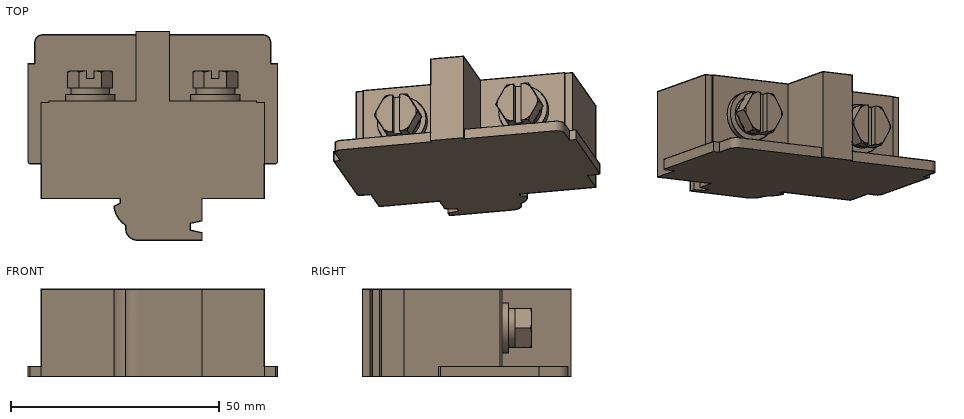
import cadquery as cq
import math

height = 21.0

body_width = 53.65
body_depth = 23.1
pad_width = 49.9
pad_depth = 23.5
rib_width = 8.15
rib_back = 40.2

plate_width = 60.0
plate_back_width = 56.75
plate_thickness = 2.45
plate_front = 8.35
plate_step = 32.45
plate_back = 39.4
plate_back_radius = 2.0
plate_front_chamfer = 0.5

foot_front = -10.0
foot_right = 11.9
foot_left = -6.55
foot_radius = 2.9
neck_left = -7.85
neck_front = -1.1
latch_left = -9.3
latch_back = -1.8
latch_arc_start = -2.2
latch_arc_middle = (-8.4, -4.5)
latch_arc_end = (foot_left, -6.35)
groove_depth = 2.8
groove_center = -6.75
groove_mouth = 2.8
groove_floor = 1.6

screw_spacing = 30.05
screw_z = 11.7
washer_diameter = 12.0
collar_diameter = 9.35
ring_thickness = 1.55
head_flats = 9.35
head_height = 4.0
head_top_diameter = 9.95
head_bevel_slope = 30
slot_width = 1.8
slot_depth = 1.8


def block(width, front, back, thickness):
    """Box centred on x = 0 and standing on z = 0."""
    return (
        cq.Workplane("XY")
        .box(width, back - front, thickness, centered=(True, False, False))
        .translate((0, front, 0))
    )


def make_plate():
    wide = block(plate_width, plate_front, plate_step, plate_thickness)
    wide = wide.edges("|Z and <Y").chamfer(plate_front_chamfer)
    narrow = block(plate_back_width, plate_front, plate_back, plate_thickness)
    narrow = narrow.edges("|Z and >Y").fillet(plate_back_radius)
    return wide.union(narrow)


def make_foot():
    """Foot with a rounded latch on the left and a tapered groove on the right."""
    corner_x = foot_left + foot_radius
    corner_y = foot_front + foot_radius
    reach = foot_radius * math.sqrt(0.5)
    groove_x = foot_right - groove_depth
    return (
        cq.Workplane("XY")
        .moveTo(neck_left, body_depth / 2)
        .lineTo(neck_left, neck_front)
        .lineTo(latch_left, latch_back)
        .lineTo(latch_left, latch_arc_start)
        .threePointArc(latch_arc_middle, latch_arc_end)
        .lineTo(foot_left, corner_y)
        .threePointArc((corner_x - reach, corner_y - reach), (corner_x, foot_front))
        .lineTo(foot_right, foot_front)
        .lineTo(foot_right, groove_center - groove_mouth / 2)
        .lineTo(groove_x, groove_center - groove_floor / 2)
        .lineTo(groove_x, groove_center + groove_floor / 2)
        .lineTo(foot_right, groove_center + groove_mouth / 2)
        .lineTo(foot_right, body_depth / 2)
        .close()
        .extrude(height)
    )


def make_screw():
    """Slotted hex screw on its washer, pointing up from z = 0."""
    corner_diameter = head_flats / math.cos(math.radians(30))
    head_base = 2 * ring_thickness
    head_top = head_base + head_height
    bevel_reach = (corner_diameter - head_top_diameter) / 2
    bevel_drop = bevel_reach * math.tan(math.radians(head_bevel_slope))

    washer = cq.Workplane("XY").circle(washer_diameter / 2).extrude(ring_thickness)
    collar = cq.Workplane("XY").circle(collar_diameter / 2).extrude(head_base)
    head = (
        cq.Workplane("XY")
        .workplane(offset=head_base)
        .polygon(6, corner_diameter)
        .extrude(head_height)
    )
    bevel_envelope = (
        cq.Workplane("XZ")
        .moveTo(0, head_base)
        .lineTo(corner_diameter / 2, head_base)
        .lineTo(corner_diameter / 2, head_top - bevel_drop)
        .lineTo(head_top_diameter / 2, head_top)
        .lineTo(0, head_top)
        .close()
        .revolve(360, (0, 0, 0), (0, 1, 0))
    )
    slot = (
        cq.Workplane("XY")
        .box(slot_width, washer_diameter, slot_depth, centered=(True, True, False))
        .translate((0, 0, head_top - slot_depth))
    )
    return head.intersect(bevel_envelope).cut(slot).union(collar).union(washer)


result = block(body_width, 0, body_depth, height)
result = result.union(block(pad_width, 0, pad_depth, height))
result = result.union(block(rib_width, 0, rib_back, height))
result = result.union(make_plate())
result = result.union(make_foot())

for side in (-1, 1):
    screw = make_screw().rotate((0, 0, 0), (1, 0, 0), -90)
    result = result.union(screw.translate((side * screw_spacing / 2, pad_depth, screw_z)))